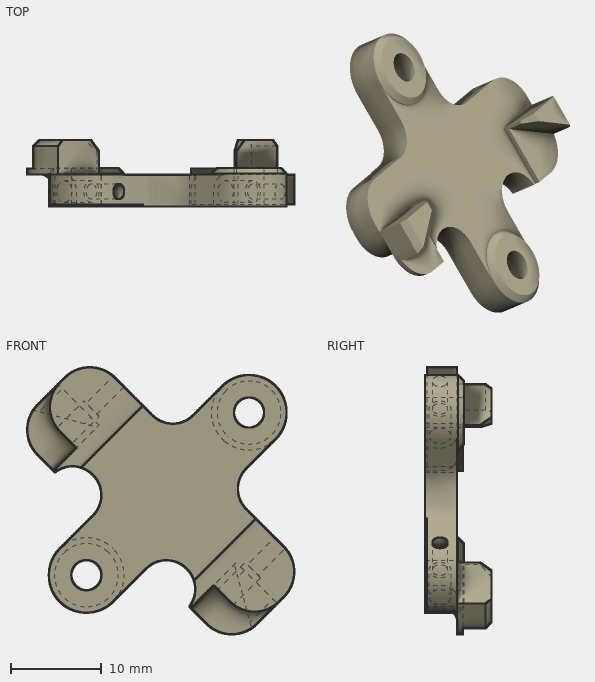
import cadquery as cq
import math


plate_thickness = 3.55
hole_spacing = 25.4
hole_diameter = 3.3
arm_radius = 4.16
crotch_radius = 3.175

boss_height = 0.75
boss_chamfer = 0.65

wing_end = 17.12
wing_corner_radius = 3.9
wing_outer_edge = 4.95
block_inner_edge = -3.56
flange_edge = -7.12
flange_thickness = 0.67
relief_start = 8.82
relief_depth = 0.25

deep_crotch_u = -7.54

pin_w = 12.6
pin_depth = 1.67
pin_diameter = 1.68
pin_bore_diameter = 2.4
pin_bore_length = (wing_outer_edge - block_inner_edge) / 2
clearance_radius = plate_thickness - pin_depth
wall_w = pin_w - clearance_radius

overall_depth = 7.37
post_outer_u = 0.0
post_tip_width = 0.3
post_taper_angle = 30.0
post_end_chamfer = 0.68
post_tip_chamfer = 1.26

arm_tilt = 45.0
half_spacing = hole_spacing / 2
arm_tip = half_spacing + arm_radius
diagonal = math.sqrt(0.5)


def half_plate():
    """Plate outline on the W > 0 side: two half arms, one wing and the crotches between."""
    crotch_w = arm_radius + crotch_radius
    crotch_u = wing_outer_edge + crotch_radius
    corner_w = wing_end - wing_corner_radius
    outer_corner_u = wing_outer_edge - wing_corner_radius
    inner_corner_u = block_inner_edge + wing_corner_radius
    web_tip_w = crotch_w + math.sqrt(crotch_radius**2 - (flange_edge - deep_crotch_u) ** 2)
    arm_mid = arm_radius * diagonal
    crotch_mid = crotch_radius * diagonal
    corner_mid = wing_corner_radius * diagonal
    return (
        cq.Workplane("XY")
        .moveTo(arm_tip, 0)
        .threePointArc((half_spacing + arm_mid, arm_mid), (half_spacing, arm_radius))
        .lineTo(crotch_u, arm_radius)
        .threePointArc((crotch_u - crotch_mid, crotch_w - crotch_mid), (wing_outer_edge, crotch_w))
        .lineTo(wing_outer_edge, corner_w)
        .threePointArc((outer_corner_u + corner_mid, corner_w + corner_mid), (outer_corner_u, wing_end))
        .lineTo(inner_corner_u, wing_end)
        .threePointArc((inner_corner_u - corner_mid, corner_w + corner_mid), (block_inner_edge, corner_w))
        .lineTo(block_inner_edge, wall_w)
        .lineTo(flange_edge, wall_w)
        .lineTo(flange_edge, web_tip_w)
        .threePointArc((deep_crotch_u + crotch_radius, crotch_w), (deep_crotch_u, arm_radius))
        .lineTo(-half_spacing, arm_radius)
        .threePointArc((-half_spacing - arm_mid, arm_mid), (-arm_tip, 0))
        .close()
        .extrude(plate_thickness)
    )


def box_between(low, high):
    """Axis-aligned box between two opposite corners."""
    size = [b - a for a, b in zip(low, high)]
    return cq.Workplane("XY").box(*size, centered=False).translate(low)


def rod_along_u(diameter, start, end):
    """Cylinder on the pin axis between two U positions."""
    return (
        cq.Workplane("YZ", origin=(start, pin_w, pin_depth))
        .circle(diameter / 2)
        .extrude(end - start)
    )


def clearance_fillet():
    """Concave fillet joining the web wall to the underside of the flange."""
    corner = box_between(
        (flange_edge, wall_w, pin_depth),
        (block_inner_edge, pin_w, plate_thickness),
    )
    return corner.cut(rod_along_u(2 * clearance_radius, flange_edge, block_inner_edge))


def flange_prism(height):
    """Flange outline, with its one rounded corner, raised from the back of the plate."""
    low = (flange_edge, wall_w, plate_thickness)
    high = (post_outer_u, wing_end, plate_thickness + height)
    return box_between(low, high).edges("|Z and <X and >Y").fillet(wing_corner_radius)


def post():
    """Tapered post: a wedge in plan, bevelled at its narrow tip and around its wide end."""
    tip_u = post_outer_u - post_tip_width
    wide_u = tip_u - (wing_end - wall_w) * math.tan(math.radians(post_taper_angle))
    wedge = (
        cq.Workplane("XY", origin=(0, 0, plate_thickness))
        .moveTo(post_outer_u, wall_w)
        .lineTo(post_outer_u, wing_end)
        .lineTo(wide_u, wing_end)
        .lineTo(tip_u, wall_w)
        .close()
        .extrude(overall_depth - plate_thickness)
    )
    prism = wedge.intersect(flange_prism(overall_depth - plate_thickness))
    end_rim = prism.faces(">Z").edges(
        cq.selectors.BoxSelector(
            (flange_edge, wing_end - post_end_chamfer, plate_thickness),
            (post_outer_u, wing_end + post_end_chamfer, overall_depth + post_end_chamfer),
        )
    )
    return end_rim.chamfer(post_end_chamfer).faces("<Y").edges(">Z").chamfer(post_tip_chamfer)


def wing_relief():
    """Shallow step that lowers the front face of the wing."""
    return box_between((flange_edge, relief_start, 0), (wing_outer_edge, wing_end, relief_depth))


def pin_hole():
    """Stepped pin hole: wide from the inner side of the block, narrow to the outer side."""
    bore_end = block_inner_edge + pin_bore_length
    wide = rod_along_u(pin_bore_diameter, block_inner_edge, bore_end)
    return wide.union(rod_along_u(pin_diameter, bore_end, wing_outer_edge))


def arm_boss(u):
    """Disc around an arm hole with a chamfered rim."""
    disc = cq.Workplane("XY", origin=(u, 0, plate_thickness)).circle(arm_radius).extrude(boss_height)
    return disc.faces(">Z").edges().chamfer(boss_chamfer)


half = half_plate().union(clearance_fillet()).union(flange_prism(flange_thickness)).union(post())
half = half.cut(wing_relief()).cut(pin_hole())
body = half.union(half.mirror("XZ"))

hole_positions = [(-half_spacing, 0), (half_spacing, 0)]
for hole_u, _ in hole_positions:
    body = body.union(arm_boss(hole_u))
arm_holes = (
    cq.Workplane("XY")
    .pushPoints(hole_positions)
    .circle(hole_diameter / 2)
    .extrude(plate_thickness + boss_height)
)
body = body.cut(arm_holes)

result = body.rotate((0, 0, 0), (1, 0, 0), -90).rotate((0, 0, 0), (0, 1, 0), -arm_tilt)